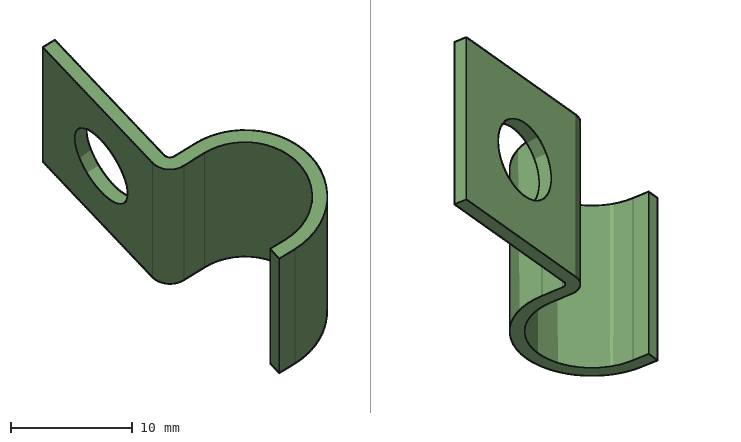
import cadquery as cq

length = 28.97
depth = 10.75
width = 15.88
thickness = 1.25
loop_radius = 6.78
bend_radius = 0.6
free_end_y = 2.35
hole_diameter = 7.15
hole_x = 7.9

loop_x = length - loop_radius
loop_y = depth - loop_radius
loop_inner_radius = loop_radius - thickness
leg_outer_x = loop_x - loop_radius
leg_inner_x = leg_outer_x + thickness
free_inner_x = length - thickness
bend_x = leg_outer_x - bend_radius
bend_y = thickness + bend_radius
bend_outer_radius = bend_radius + thickness


def strip_profile():
    """Bent strip section in the XY plane: flat tab, bend, half-round loop."""
    return (
        cq.Workplane("XY")
        .lineTo(bend_x, 0)
        .radiusArc((leg_inner_x, bend_y), -bend_outer_radius)
        .lineTo(leg_inner_x, loop_y)
        .threePointArc((loop_x, loop_y + loop_inner_radius), (free_inner_x, loop_y))
        .lineTo(free_inner_x, free_end_y)
        .lineTo(length, free_end_y)
        .lineTo(length, loop_y)
        .threePointArc((loop_x, depth), (leg_outer_x, loop_y))
        .lineTo(leg_outer_x, bend_y)
        .radiusArc((bend_x, thickness), bend_radius)
        .lineTo(0, thickness)
        .close()
    )


def screw_hole():
    """Cylinder through the tab, centred across the strip width."""
    return (
        cq.Workplane("XZ")
        .center(hole_x, width / 2)
        .circle(hole_diameter / 2)
        .extrude(-thickness)
    )


clip = strip_profile().extrude(width)
result = clip.cut(screw_hole())